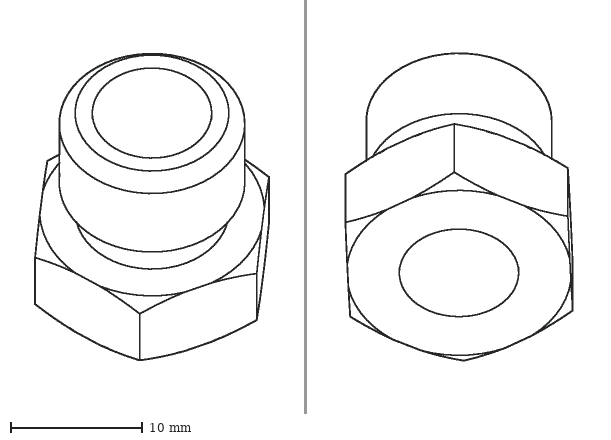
import cadquery as cq
import math

across_corners = 19.63
head_height = 6.85
head_face_radius = 8.58
head_chamfer_angle = 30.0

total_height = 18.24
collar_radius = 7.09
collar_chamfer = 1.22
neck_radius = collar_radius - collar_chamfer
neck_length = 2.15
bore_radius = 4.55


def revolve_profile(points):
    """Turn an (r, z) outline around the Z axis."""
    return cq.Workplane("XZ").polyline(points).close().revolve(360, (0, 0), (0, 1))


def make_head():
    corner_radius = across_corners / 2
    hexagon = cq.Workplane("XY").polygon(6, across_corners).extrude(head_height)
    drop = (corner_radius - head_face_radius) * math.tan(math.radians(head_chamfer_angle))
    chamfer_envelope = revolve_profile([
        (0, 0),
        (head_face_radius, 0),
        (corner_radius, drop),
        (corner_radius, head_height - drop),
        (head_face_radius, head_height),
        (0, head_height),
    ])
    return hexagon.intersect(chamfer_envelope)


def make_spigot():
    neck_top = head_height + neck_length
    return revolve_profile([
        (0, 0),
        (neck_radius, 0),
        (neck_radius, neck_top),
        (collar_radius, neck_top + collar_chamfer),
        (collar_radius, total_height - collar_chamfer),
        (collar_radius - collar_chamfer, total_height),
        (0, total_height),
    ])


bore = cq.Workplane("XY").circle(bore_radius).extrude(total_height)
result = make_head().union(make_spigot()).cut(bore)